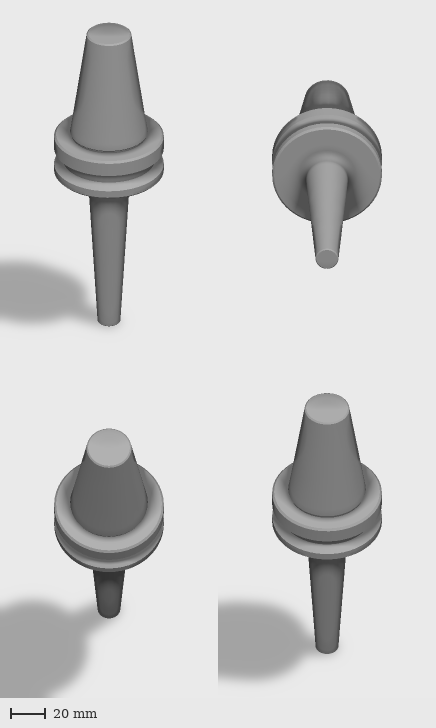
import cadquery as cq
import math

total_length = 192.4

gauge_radius = 22.3
gauge_z = 127.0
shank_taper = 7 / 24 / 2
shank_end_chamfer = 0.8
undercut_radius = 21.5
undercut_chamfer = gauge_radius - undercut_radius

flange_radius = 31.5
flange_top_z = 125.0
flange_bottom_z = 100.0
flange_chamfer = 1.2
groove_floor_radius = 26.5
groove_floor_width = 4.5
groove_center_z = 110.6
groove_wall_angle = math.radians(30)

neck_radius = 12.1
neck_fillet = 4.5
tip_radius = 6.5
tip_chamfer = 0.5

shank_end_radius = gauge_radius - (total_length - gauge_z) * shank_taper
shank_chamfer_radius = shank_end_radius + shank_end_chamfer * shank_taper
groove_wall_height = (flange_radius - groove_floor_radius) * math.tan(groove_wall_angle)
groove_floor_half = groove_floor_width / 2
groove_mouth_half = groove_floor_half + groove_wall_height
neck_z = flange_bottom_z - neck_fillet
nose_slope = (neck_radius - tip_radius) / neck_z
tip_chamfer_radius = tip_radius + tip_chamfer * nose_slope
fillet_center_radius = neck_radius + neck_fillet
fillet_mid_point = (
    fillet_center_radius - neck_fillet * math.cos(math.pi / 4),
    neck_z + neck_fillet * math.sin(math.pi / 4),
)

profile = (
    cq.Workplane("XZ")
    .moveTo(0, 0)
    .lineTo(tip_radius - tip_chamfer, 0)
    .lineTo(tip_chamfer_radius, tip_chamfer)
    .lineTo(neck_radius, neck_z)
    .threePointArc(fillet_mid_point, (fillet_center_radius, flange_bottom_z))
    .lineTo(flange_radius - flange_chamfer, flange_bottom_z)
    .lineTo(flange_radius, flange_bottom_z + flange_chamfer)
    .lineTo(flange_radius, groove_center_z - groove_mouth_half)
    .lineTo(groove_floor_radius, groove_center_z - groove_floor_half)
    .lineTo(groove_floor_radius, groove_center_z + groove_floor_half)
    .lineTo(flange_radius, groove_center_z + groove_mouth_half)
    .lineTo(flange_radius, flange_top_z - flange_chamfer)
    .lineTo(flange_radius - flange_chamfer, flange_top_z)
    .lineTo(undercut_radius, flange_top_z)
    .lineTo(undercut_radius, gauge_z - undercut_chamfer)
    .lineTo(gauge_radius, gauge_z)
    .lineTo(shank_chamfer_radius, total_length - shank_end_chamfer)
    .lineTo(shank_end_radius - shank_end_chamfer, total_length)
    .lineTo(0, total_length)
    .close()
)

result = profile.revolve(360, (0, 0, 0), (0, 1, 0))